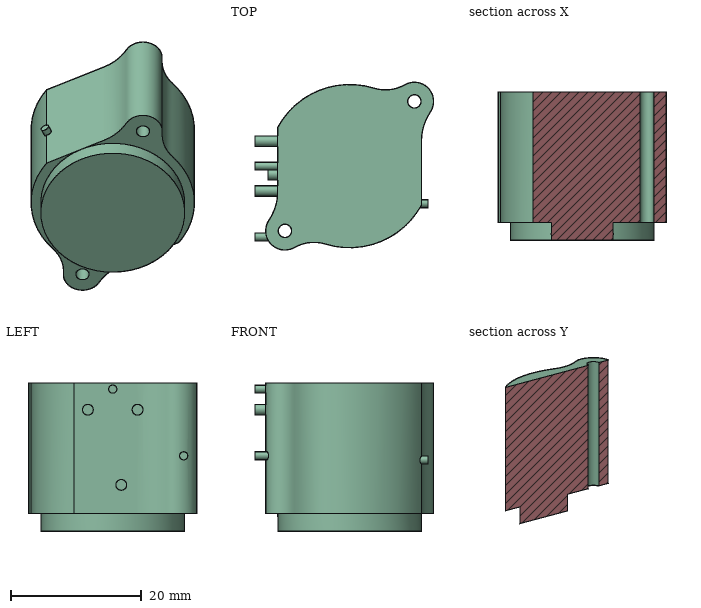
import cadquery as cq
import math

body_radius = 12.5
body_height = 20.0
flat_half_width = 11.0
ear_radius = 2.95
ear_circle_radius = 14.0
ear_angle = math.radians(45)
ear_hole_diameter = 2.0
round_blend_radius = 6.0
flat_blend_radius = 8.0

boss_diameter = 22.0
boss_height = 2.7

thin_pin = 1.25
thick_pin = 1.65
long_pin_end = -14.5
short_pin_end = -12.5
right_pin_end = 12.0
pin_root = 9.0
side_pins = [
    (0.0, 19.05, thin_pin, long_pin_end),
    (3.8, 15.9, thick_pin, long_pin_end),
    (-3.8, 15.9, thick_pin, long_pin_end),
    (-10.85, 8.85, thin_pin, long_pin_end),
    (-1.3, 4.4, thick_pin, short_pin_end),
    (-5.75, 8.2, thin_pin, right_pin_end),
]

ear_offset = ear_circle_radius * math.cos(ear_angle)
ear = (ear_offset, ear_offset)


def toward(start, target, distance):
    """Point at a distance from start along the line to target."""
    length = math.dist(start, target)
    return tuple(s + (t - s) * distance / length for s, t in zip(start, target))


def arc_middle(center, radius, first, last):
    """Middle point of the shorter arc between two points of a circle."""
    chord_middle = tuple((a + b) / 2 for a, b in zip(first, last))
    return toward(center, chord_middle, radius)


def opposite(point):
    """Point turned half a turn about the axis."""
    return (-point[0], -point[1])


def body_outline():
    """Closed outline, counterclockwise from the lower end of the +X flat."""
    flat_center_x = flat_half_width + flat_blend_radius
    flat_drop = math.sqrt((ear_radius + flat_blend_radius) ** 2 - (flat_center_x - ear_offset) ** 2)
    flat_center = (flat_center_x, ear_offset - flat_drop)
    flat_top = (flat_half_width, flat_center[1])
    ear_start = toward(ear, flat_center, ear_radius)

    reach = body_radius + round_blend_radius
    cosine = (reach**2 + ear_circle_radius**2 - (ear_radius + round_blend_radius) ** 2) / (
        2 * reach * ear_circle_radius
    )
    angle = ear_angle + math.acos(cosine)
    round_center = (reach * math.cos(angle), reach * math.sin(angle))
    ear_end = toward(ear, round_center, ear_radius)
    round_start = toward((0, 0), round_center, body_radius)

    flat_corner_y = math.sqrt(body_radius**2 - flat_half_width**2)
    round_end = (-flat_half_width, flat_corner_y)

    arcs = [
        (arc_middle(flat_center, flat_blend_radius, flat_top, ear_start), ear_start),
        (toward(ear, opposite(ear), -ear_radius), ear_end),
        (arc_middle(round_center, round_blend_radius, ear_end, round_start), round_start),
        (arc_middle((0, 0), body_radius, round_start, round_end), round_end),
    ]
    outline = cq.Workplane("XY").moveTo(*opposite(round_end)).lineTo(*flat_top)
    for middle, end in arcs:
        outline = outline.threePointArc(middle, end)
    outline = outline.lineTo(*opposite(flat_top))
    for middle, end in arcs:
        outline = outline.threePointArc(opposite(middle), opposite(end))
    return outline.close()


def body():
    return body_outline().extrude(body_height)


def boss():
    return cq.Workplane("XY").circle(boss_diameter / 2).extrude(-boss_height)


def side_pin(y, z, diameter, end_x):
    root_x = math.copysign(pin_root, end_x)
    return (
        cq.Workplane("YZ", origin=(root_x, y, z))
        .circle(diameter / 2)
        .extrude(end_x - root_x)
    )


def ear_holes():
    return (
        cq.Workplane("XY")
        .pushPoints([ear, opposite(ear)])
        .circle(ear_hole_diameter / 2)
        .extrude(body_height)
    )


result = body().union(boss())
for pin in side_pins:
    result = result.union(side_pin(*pin))
result = result.cut(ear_holes())